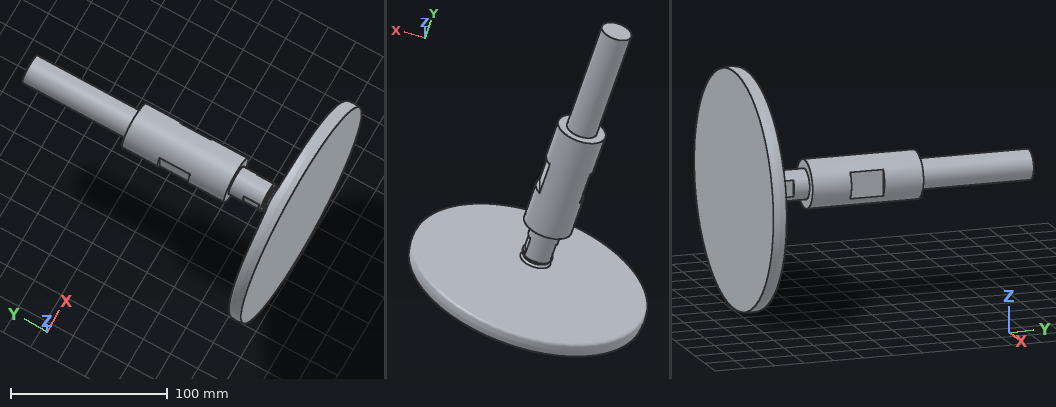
import cadquery as cq

total_length = 199.0

plate_radius = 158.0 / 2
face_radius = 78.5
parting_height = 4.4
shoulder_radius = 78.6
shoulder_height = 9.4
shoulder_fillet = 2.5
edge_tolerance = 0.2
cone_top_radius = 10.1
cone_top_height = 20.7
collar_radius = 8.5
collar_base_height = 22.3
collar_lip_radius = 9.2
collar_top_height = 23.0

stud_radius = 20.0 / 2
stud_start = 24.5
neck_radius = 7.0
neck_bottom = 10.0
stud_flat_start = 26.0
stud_flat_length = 11.3
stud_across_flats = 17.0

sleeve_radius = 32.0 / 2
sleeve_start = 47.8
sleeve_length = 74.8
sleeve_flat_length = 22.3
sleeve_flat_start = sleeve_start + (sleeve_length - sleeve_flat_length) / 2
sleeve_across_flats = 26.9


def cylinder(radius, start, length):
    """Cylinder along +Y, beginning at the height start."""
    return cq.Workplane("XZ", origin=(0, start, 0)).circle(radius).extrude(-length)


def cut_wrench_flats(body, body_radius, across_flats, start, length):
    """Cut two opposite flats, facing -X and +X."""
    depth = body_radius - across_flats / 2
    for side in (-1, 1):
        cutter = cq.Workplane("XY").box(depth, length, 2 * body_radius).translate(
            (side * (across_flats + depth) / 2, start + length / 2, 0)
        )
        body = body.cut(cutter)
    return body


def make_foot_plate():
    """Conical plate with a rounded shoulder, a flared collar and a socket for the neck."""
    profile = [
        (0, 0),
        (face_radius, 0),
        (plate_radius, parting_height),
        (shoulder_radius, shoulder_height),
        (cone_top_radius, cone_top_height),
        (collar_radius, collar_base_height),
        (collar_lip_radius, collar_top_height),
        (0, collar_top_height),
    ]
    plate = cq.Workplane("XY").polyline(profile).close().revolve(360, (0, 0, 0), (0, 1, 0))
    shoulder_edge = cq.selectors.BoxSelector(
        (-plate_radius, shoulder_height - edge_tolerance, -plate_radius),
        (plate_radius, shoulder_height + edge_tolerance, plate_radius),
        boundingbox=True,
    )
    plate = plate.edges(shoulder_edge).edges("%CIRCLE").fillet(shoulder_fillet)
    return plate.cut(cylinder(neck_radius, neck_bottom, collar_top_height - neck_bottom))


def make_stud():
    """Round stud with a reduced neck and two wrench flats near the foot."""
    shank = cylinder(stud_radius, stud_start, total_length - stud_start)
    neck = cylinder(neck_radius, neck_bottom, stud_start - neck_bottom)
    return cut_wrench_flats(
        shank.union(neck), stud_radius, stud_across_flats, stud_flat_start, stud_flat_length
    )


def make_sleeve():
    """Sleeve bored to fit the stud, with two wrench flats at mid length."""
    sleeve = cylinder(sleeve_radius, sleeve_start, sleeve_length)
    sleeve = sleeve.cut(cylinder(stud_radius, sleeve_start, sleeve_length))
    return cut_wrench_flats(
        sleeve, sleeve_radius, sleeve_across_flats, sleeve_flat_start, sleeve_flat_length
    )


foot_plate = make_foot_plate()
stud = make_stud()
sleeve = make_sleeve()

result = cq.Compound.makeCompound([foot_plate.val(), stud.val(), sleeve.val()])